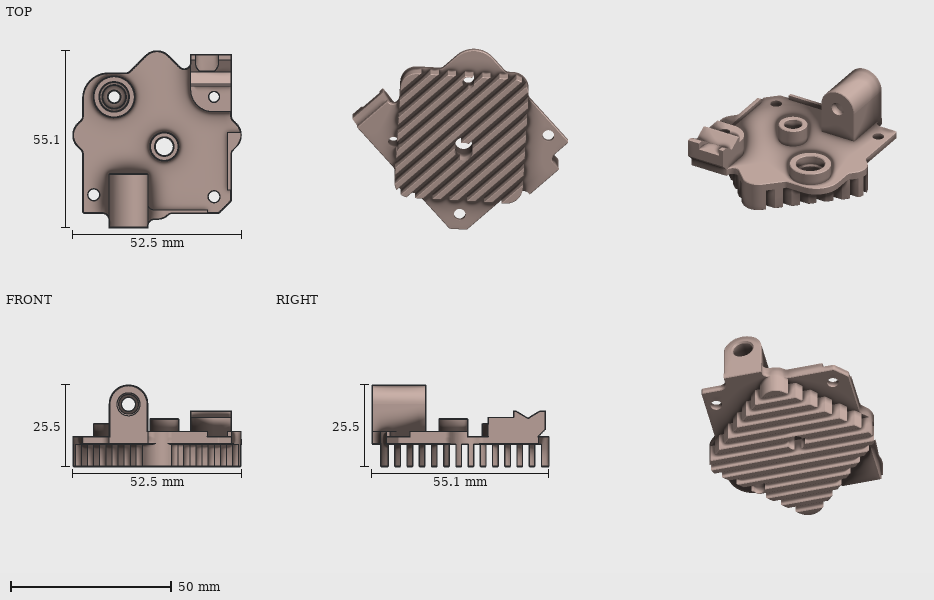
import cadquery as cq
import math

EDGE = 0.2

PLATE_BOTTOM = 7.0
PLATE_TOP = 9.5
PLATE_MIDDLE = (PLATE_BOTTOM + PLATE_TOP) / 2
RIB_TOP = 11.05

SQUARE_SIDE = 40.05
SQUARE_CORNER_RADIUS = 5.0
SQUARE_REACH = SQUARE_SIDE / math.sqrt(2)
CORNER_ARC_CENTRE = SQUARE_REACH - SQUARE_CORNER_RADIUS * math.sqrt(2)

PLATE_HALF_WIDTH = 23.15
PLATE_FRONT = -24.35
PLATE_BACK = 19.35
PLATE_BACK_LEFT_RADIUS = 8.0
PLATE_FRONT_LEFT_RADIUS = 0.65
CORNER_CUT = 3.85
CORNER_CUT_RADIUS = 1.0
BLEND_RADIUS = 2.0

FIN_PITCH = 3.8
FIN_GAP = 2.0
GAPS_EACH_SIDE = 6

LUG_X = -8.9
LUG_RADIUS = 6.0
LUG_FRONT = -28.9
LUG_LENGTH = 16.9
LUG_AXIS_Z = 19.45
LUG_BLEND_RADIUS = 2.2
LUG_HOLE_RADIUS = 2.15
LUG_BORE_RADIUS = 3.1
LUG_BORE_DEPTH = 14.35
LUG_BORE_BEVEL = 0.5
LUG_LEFT = LUG_X - LUG_RADIUS
LUG_RIGHT = LUG_X + LUG_RADIUS

BEARING_X = -13.35
BEARING_Y = 11.9
BEARING_RADIUS = 6.5
BEARING_TOP = 13.5
BEARING_BORE_RADIUS = 4.5
BEARING_BORE_FLOOR = 10.5
BEARING_RECESS_RADIUS = 3.6
BEARING_RECESS_FLOOR = 8.5
BEARING_HOLE_RADIUS = 1.9

SHAFT_X = 2.25
SHAFT_Y = -3.6
SHAFT_RADIUS = 4.5
SHAFT_TOP = 15.0
SHAFT_HOLE_RADIUS = 2.8

LATCH_LEFT = 10.5
LATCH_RIGHT = PLATE_HALF_WIDTH
LATCH_FRONT = 7.3
LATCH_BACK = 25.1
LATCH_CORNER_RADIUS = 6.9
LATCH_STEP_Y = 15.2
LATCH_STEP_Z = 15.4
LATCH_RIDGE_TOP = 17.35
VEE_FRONT = 15.9
VEE_MIDDLE = 19.7
VEE_BACK = 23.4
VEE_BOTTOM = 15.1
OVERHANG = 2.2
LATCH_FOOT_BACK = LATCH_BACK - OVERHANG
POCKET_X = 15.55
POCKET_RADIUS = 3.65
POCKET_ARC_Y = 22.7
POCKET_FRONT = 19.9
POCKET_FLOOR = 15.2

SIDE_RIB_LEFT = 21.9
SIDE_RIB_FRONT = -17.1
SIDE_RIB_BACK = 0.9
FRONT_RIB_BACK = -23.25
FRONT_RIB_RIGHT = 15.65
FRONT_RIB_BLEND = 1.8

SCREW_HOLES = [
    (17.75, 11.9, 1.65),
    (17.75, -19.2, 1.8),
    (-19.7, -18.6, 1.8),
]


def box(x0, x1, y0, y1, z0, z1):
    return cq.Workplane("XY").box(x1 - x0, y1 - y0, z1 - z0, centered=False).translate((x0, y0, z0))


def cylinder(x, y, radius, z0, z1):
    return cq.Workplane("XY", origin=(x, y, z0)).circle(radius).extrude(z1 - z0)


def round_upright_edge(body, x, y, radius):
    """Round the vertical edge that stands at (x, y)."""
    near = 0.05
    picker = cq.selectors.BoxSelector((x - near, y - near, -55.15), (x + near, y + near, 55.15))
    return body.edges("|Z").edges(picker).fillet(radius)


def turned_square(z0, z1):
    """Square standing on a corner, with its four corners rounded about CORNER_ARC_CENTRE."""
    tip = CORNER_ARC_CENTRE + SQUARE_CORNER_RADIUS
    half_chord = SQUARE_CORNER_RADIUS * math.sqrt(0.5)
    shoulder = CORNER_ARC_CENTRE + half_chord
    outline = (
        cq.Workplane("XY", origin=(0, 0, z0))
        .moveTo(shoulder, -half_chord)
        .threePointArc((tip, 0), (shoulder, half_chord))
        .lineTo(half_chord, shoulder)
        .threePointArc((0, tip), (-half_chord, shoulder))
        .lineTo(-shoulder, half_chord)
        .threePointArc((-tip, 0), (-shoulder, -half_chord))
        .lineTo(-half_chord, -shoulder)
        .threePointArc((0, -tip), (half_chord, -shoulder))
        .close()
    )
    return outline.extrude(z1 - z0)


def plate_prism(z0, z1):
    """Full plate outline: rectangle, turned square, latch foot and lug foot."""
    w = PLATE_HALF_WIDTH
    body = box(-w, w, PLATE_FRONT, PLATE_BACK, z0, z1)
    body = round_upright_edge(body, -w, PLATE_BACK, PLATE_BACK_LEFT_RADIUS)
    body = round_upright_edge(body, -w, PLATE_FRONT, PLATE_FRONT_LEFT_RADIUS)
    body = body.edges("|Z and >X and <Y").chamfer(CORNER_CUT)
    body = round_upright_edge(body, w, PLATE_FRONT + CORNER_CUT, CORNER_CUT_RADIUS)
    body = round_upright_edge(body, w - CORNER_CUT, PLATE_FRONT, CORNER_CUT_RADIUS)

    nose = cylinder(0, -CORNER_ARC_CENTRE, SQUARE_CORNER_RADIUS, z0, z1)
    nose_corner_x = math.sqrt(SQUARE_CORNER_RADIUS**2 - (PLATE_FRONT + CORNER_ARC_CENTRE) ** 2)
    body = round_upright_edge(body.union(nose), nose_corner_x, PLATE_FRONT, BLEND_RADIUS)

    back = turned_square(z0, z1).union(box(LATCH_LEFT, LATCH_RIGHT, 0, LATCH_FOOT_BACK, z0, z1))
    back = round_upright_edge(back, LATCH_LEFT, SQUARE_REACH - LATCH_LEFT, BLEND_RADIUS)
    body = body.union(back)
    body = body.union(box(LUG_LEFT, LUG_RIGHT, LUG_FRONT, 0, z0, z1)).clean()

    side_corner = SQUARE_REACH - w
    bump_blends = [
        (-w, side_corner),
        (-w, -side_corner),
        (w, side_corner),
        (w, -side_corner),
        (PLATE_BACK - SQUARE_REACH, PLATE_BACK),
    ]
    for x, y in bump_blends:
        body = round_upright_edge(body, x, y, BLEND_RADIUS)

    lug_meets_square_y = -CORNER_ARC_CENTRE - math.sqrt(SQUARE_CORNER_RADIUS**2 - LUG_RIGHT**2)
    body = round_upright_edge(body, LUG_LEFT, PLATE_FRONT, LUG_BLEND_RADIUS)
    return round_upright_edge(body, LUG_RIGHT, lug_meets_square_y, LUG_BLEND_RADIUS)


def fins():
    body = turned_square(0, PLATE_MIDDLE)
    for i in range(-GAPS_EACH_SIDE, GAPS_EACH_SIDE + 1):
        y = i * FIN_PITCH
        gap = box(-SQUARE_REACH, SQUARE_REACH, y - FIN_GAP / 2, y + FIN_GAP / 2, 0, PLATE_BOTTOM)
        body = body.cut(gap)
    return body.faces("<Z").edges().chamfer(EDGE)


def ribs():
    """Low ribs that follow the plate edge on the right side and at the front."""
    side = box(SIDE_RIB_LEFT, 2 * PLATE_HALF_WIDTH, SIDE_RIB_FRONT, SIDE_RIB_BACK, PLATE_BOTTOM, RIB_TOP)
    front = (
        cq.Workplane("XY", origin=(0, 0, PLATE_BOTTOM))
        .moveTo(LUG_X, LUG_FRONT)
        .lineTo(FRONT_RIB_RIGHT, LUG_FRONT)
        .lineTo(FRONT_RIB_RIGHT, FRONT_RIB_BACK)
        .lineTo(LUG_RIGHT + FRONT_RIB_BLEND, FRONT_RIB_BACK)
        .radiusArc((LUG_RIGHT, FRONT_RIB_BACK + FRONT_RIB_BLEND), FRONT_RIB_BLEND)
        .lineTo(LUG_X, FRONT_RIB_BACK + FRONT_RIB_BLEND)
        .close()
        .extrude(RIB_TOP - PLATE_BOTTOM)
    )
    outline = plate_prism(PLATE_MIDDLE, RIB_TOP)
    return outline.intersect(side.union(front))


def lug():
    profile = (
        cq.Workplane("XZ", origin=(0, LUG_FRONT, 0))
        .moveTo(LUG_LEFT, PLATE_BOTTOM)
        .lineTo(LUG_RIGHT, PLATE_BOTTOM)
        .lineTo(LUG_RIGHT, LUG_AXIS_Z)
        .threePointArc((LUG_X, LUG_AXIS_Z + LUG_RADIUS), (LUG_LEFT, LUG_AXIS_Z))
        .close()
    )
    return profile.extrude(-LUG_LENGTH).faces("<Y or >Y").edges().chamfer(EDGE)


def lug_bore():
    """Through hole with a beveled counterbore opening at the front."""
    mouth = LUG_BORE_RADIUS + LUG_BORE_BEVEL
    half_section = [
        (0, 0),
        (mouth, 0),
        (LUG_BORE_RADIUS, LUG_BORE_BEVEL),
        (LUG_BORE_RADIUS, LUG_BORE_DEPTH),
        (LUG_HOLE_RADIUS, LUG_BORE_DEPTH),
        (LUG_HOLE_RADIUS, LUG_LENGTH),
        (0, LUG_LENGTH),
    ]
    bore = cq.Workplane("XY").polyline(half_section).close().revolve(360, (0, 0), (0, 1))
    return bore.translate((LUG_X, LUG_FRONT, LUG_AXIS_Z))


def boss(x, y, radius, top):
    return cylinder(x, y, radius, PLATE_MIDDLE, top).faces(">Z").edges().chamfer(EDGE)


def hole(x, y, radius, bottom, top):
    """Round cutter whose upper rim is beveled outward."""
    rim = cylinder(x, y, radius + EDGE, top - EDGE, top).faces("<Z").edges().chamfer(EDGE * 0.99)
    return cylinder(x, y, radius, bottom, top).union(rim)


def latch():
    profile = [
        (LATCH_FRONT, PLATE_MIDDLE),
        (LATCH_FRONT, LATCH_STEP_Z),
        (LATCH_STEP_Y, LATCH_STEP_Z),
        (LATCH_STEP_Y, LATCH_RIDGE_TOP),
        (VEE_FRONT, LATCH_RIDGE_TOP),
        (VEE_MIDDLE, VEE_BOTTOM),
        (VEE_BACK, LATCH_RIDGE_TOP),
        (LATCH_BACK, LATCH_RIDGE_TOP),
        (LATCH_BACK, PLATE_TOP + OVERHANG),
        (LATCH_FOOT_BACK, PLATE_TOP),
        (LATCH_FOOT_BACK, PLATE_MIDDLE),
    ]
    body = cq.Workplane("YZ", origin=(LATCH_LEFT, 0, 0)).polyline(profile).close()
    body = body.extrude(LATCH_RIGHT - LATCH_LEFT)
    body = round_upright_edge(body, LATCH_LEFT, LATCH_FRONT, LATCH_CORNER_RADIUS)

    left = POCKET_X - POCKET_RADIUS
    right = POCKET_X + POCKET_RADIUS
    pocket = box(left, right, POCKET_ARC_Y, LATCH_BACK, POCKET_FLOOR, LATCH_RIDGE_TOP)
    pocket = pocket.union(cylinder(POCKET_X, POCKET_ARC_Y, POCKET_RADIUS, POCKET_FLOOR, LATCH_RIDGE_TOP))
    pocket = pocket.intersect(box(left, right, POCKET_FRONT, LATCH_BACK, POCKET_FLOOR, LATCH_RIDGE_TOP))
    return body.cut(pocket)


plate = plate_prism(PLATE_BOTTOM, PLATE_TOP).faces("<Z or >Z").edges().chamfer(EDGE)

result = plate.union(boss(BEARING_X, BEARING_Y, BEARING_RADIUS, BEARING_TOP))
result = result.union(boss(SHAFT_X, SHAFT_Y, SHAFT_RADIUS, SHAFT_TOP))
result = result.union(latch()).union(lug()).union(ribs()).union(fins())

result = result.cut(lug_bore())
result = result.cut(hole(BEARING_X, BEARING_Y, BEARING_BORE_RADIUS, BEARING_BORE_FLOOR, BEARING_TOP))
result = result.cut(hole(BEARING_X, BEARING_Y, BEARING_RECESS_RADIUS, BEARING_RECESS_FLOOR, BEARING_BORE_FLOOR))
result = result.cut(hole(BEARING_X, BEARING_Y, BEARING_HOLE_RADIUS, 0, BEARING_RECESS_FLOOR))
result = result.cut(hole(SHAFT_X, SHAFT_Y, SHAFT_HOLE_RADIUS, 0, SHAFT_TOP))
for hole_x, hole_y, hole_radius in SCREW_HOLES:
    result = result.cut(cylinder(hole_x, hole_y, hole_radius, 0, LATCH_RIDGE_TOP))